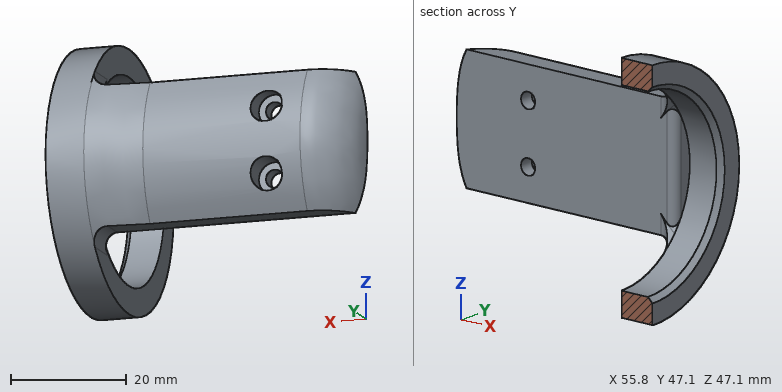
import cadquery as cq
import math

ring_diameter = 47.1
bore_diameter = 37.1
ring_width = 7.0
bore_chamfer = 1.0
ring_radius = ring_diameter / 2
bore_radius = bore_diameter / 2

overall_length = 55.8
arm_length = overall_length - ring_width
arm_width = 25.1
arm_radius = 22.5
arm_flat_y = 14.4
taper_length = 10.45
half_width = arm_width / 2

dome_length = 9.6
dome_drop = arm_radius - arm_flat_y
dome_radius = (dome_length**2 + dome_drop**2) / (2 * dome_drop)

root_fillet = 3.05
edge_round = 1.75
root_opening_width = 17.3

hole_diameter = 3.2
counterbore_diameter = 5.75
counterbore_seat_y = 17.3
hole_x = -32.8
hole_spacing = 12.0


def make_ring():
    ring = cq.Workplane("YZ").circle(ring_radius).circle(bore_radius)
    bore_rim = cq.selectors.RadiusNthSelector(0)
    return ring.extrude(ring_width).faces(">X").edges(bore_rim).chamfer(bore_chamfer)


def make_arm_envelope():
    """Solid of revolution about X that bounds the back of the arm and its domed tip."""
    dome_start = dome_length - arm_length
    half_sweep = math.asin(dome_length / dome_radius) / 2
    arc_mid = (
        dome_start - dome_radius * math.sin(half_sweep),
        arm_radius - dome_radius * (1 - math.cos(half_sweep)),
    )
    return (
        cq.Workplane("XY")
        .moveTo(0, 0)
        .lineTo(0, ring_radius)
        .lineTo(-taper_length, arm_radius)
        .lineTo(dome_start, arm_radius)
        .threePointArc(arc_mid, (-arm_length, arm_flat_y))
        .lineTo(-arm_length, 0)
        .close()
        .revolve(360, (0, 0, 0), (1, 0, 0))
    )


def make_straight_arm():
    block = cq.Workplane("XY").box(
        arm_length, ring_radius - arm_flat_y, arm_width, centered=(False, False, True)
    )
    return block.translate((-arm_length, arm_flat_y, 0))


def make_root_opening():
    """Cone that narrows from the bore to the given opening width on the arm's flat."""
    narrow_radius = math.hypot(arm_flat_y, root_opening_width / 2)
    return (
        cq.Workplane("XY")
        .moveTo(0, 0)
        .lineTo(0, bore_radius)
        .lineTo(-root_fillet, narrow_radius)
        .lineTo(-root_fillet, 0)
        .close()
        .revolve(360, (0, 0, 0), (1, 0, 0))
    )


def make_root_flare():
    """Arm root that widens in Y and Z along a concave fillet, clear of the tapered opening."""
    wide = half_width + root_fillet
    flare_in_y = (
        cq.Workplane("XY")
        .moveTo(-root_fillet, ring_radius)
        .lineTo(-root_fillet, arm_flat_y)
        .radiusArc((0, arm_flat_y - root_fillet), root_fillet)
        .lineTo(0, ring_radius)
        .close()
        .extrude(wide, both=True)
    )
    flare_in_z = (
        cq.Workplane("XZ")
        .moveTo(-root_fillet, -half_width)
        .lineTo(-root_fillet, half_width)
        .radiusArc((0, wide), -root_fillet)
        .lineTo(0, -wide)
        .radiusArc((-root_fillet, -half_width), -root_fillet)
        .close()
        .extrude(-ring_radius)
    )
    return flare_in_y.intersect(flare_in_z).cut(make_root_opening())


def make_edge_round_cutter():
    """Waste outside the convex round on the arm's inner end edge, confined to the opening."""
    waste = (
        cq.Workplane("XY")
        .moveTo(-edge_round, arm_flat_y)
        .lineTo(0, arm_flat_y)
        .lineTo(0, arm_flat_y + edge_round)
        .radiusArc((-edge_round, arm_flat_y), edge_round)
        .close()
        .extrude(half_width, both=True)
    )
    return waste.intersect(make_root_opening())


def make_screw_hole(z):
    """Through hole along Y with a counterbore open to the back of the arm."""
    hole = cq.Workplane("XZ").center(hole_x, z).circle(hole_diameter / 2).extrude(-ring_radius)
    counterbore = (
        cq.Workplane("XZ", origin=(0, counterbore_seat_y, 0))
        .center(hole_x, z)
        .circle(counterbore_diameter / 2)
        .extrude(counterbore_seat_y - ring_radius)
    )
    return hole.union(counterbore)


arm = make_straight_arm().union(make_root_flare()).intersect(make_arm_envelope())
arm = arm.cut(make_edge_round_cutter())
for side in (-1, 1):
    arm = arm.cut(make_screw_hole(side * hole_spacing / 2))

result = make_ring().union(arm)